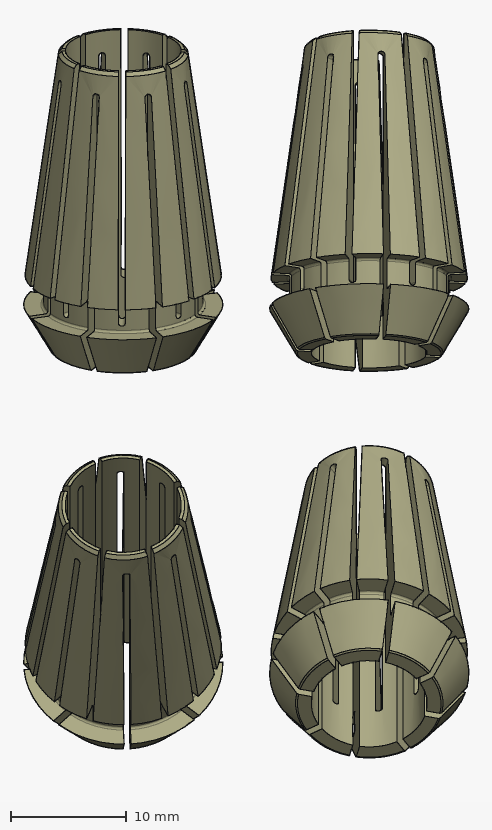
import cadquery as cq
import math

LENGTH = 27.5
BORE_RADIUS = 5.0

BODY_BOTTOM = 6.7
BODY_RADIUS = 8.5
BODY_HALF_ANGLE = 8.0
TOP_CHAMFER_HEIGHT = 0.3
TOP_FACE_RADIUS = 5.3

NECK_RADIUS = 6.9
NECK_FILLET = 0.22

HEAD_DIAMETER = 17.25
HEAD_HEIGHT = 4.0
HEAD_HALF_ANGLE = 30.0
HEAD_CHAMFER = 0.1

SLIT_COUNT = 8
SLIT_WIDTH = 0.6
LOWER_SLIT_TOP = 25.5
UPPER_SLIT_BOTTOM = 4.6


def taper(height, half_angle):
    """Change of radius over a height on a cone."""
    return height * math.tan(math.radians(half_angle))


def revolved_body():
    """Collet before slitting: head, grooved neck and tapered body around the bore."""
    head_radius = HEAD_DIAMETER / 2
    head_bottom_radius = head_radius - taper(HEAD_HEIGHT, HEAD_HALF_ANGLE)
    chamfer_bottom = LENGTH - TOP_CHAMFER_HEIGHT
    chamfer_radius = BODY_RADIUS - taper(chamfer_bottom - BODY_BOTTOM, BODY_HALF_ANGLE)
    outline = [
        (BORE_RADIUS, 0),
        (head_bottom_radius, 0),
        (head_radius, HEAD_HEIGHT),
        (NECK_RADIUS, HEAD_HEIGHT),
        (NECK_RADIUS, BODY_BOTTOM),
        (BODY_RADIUS, BODY_BOTTOM),
        (chamfer_radius, chamfer_bottom),
        (TOP_FACE_RADIUS, LENGTH),
        (BORE_RADIUS, LENGTH),
    ]
    body = cq.Workplane("XZ").polyline(outline).close().revolve(360, (0, 0), (0, 1))

    reach = NECK_RADIUS + NECK_FILLET
    neck_corners = cq.selectors.BoxSelector(
        (-reach, -reach, HEAD_HEIGHT - NECK_FILLET),
        (reach, reach, BODY_BOTTOM + NECK_FILLET),
        boundingbox=True,
    )
    body = body.edges(neck_corners).edges("%CIRCLE").fillet(NECK_FILLET)

    head_bottom_edge = cq.selectors.RadiusNthSelector(-1)
    return body.faces("<Z").edges(head_bottom_edge).chamfer(HEAD_CHAMFER)


def slit_pair(round_end, open_end):
    """Cutter across the whole diameter, rounded at one end and open at the other."""
    end_radius = SLIT_WIDTH / 2
    toward_open = math.copysign(1, open_end - round_end)
    arc_start = round_end + toward_open * end_radius
    return (
        cq.Workplane("XZ")
        .moveTo(-end_radius, open_end)
        .lineTo(-end_radius, arc_start)
        .threePointArc((0, round_end), (end_radius, arc_start))
        .lineTo(end_radius, open_end)
        .close()
        .extrude(HEAD_DIAMETER, both=True)
    )


def cut_slits(body, cutter, first_angle):
    """Cut the evenly spaced slits, two opposite ones at a time."""
    pitch = 360 / SLIT_COUNT
    for index in range(SLIT_COUNT // 2):
        angle = first_angle + index * pitch
        body = body.cut(cutter.rotate((0, 0, 0), (0, 0, 1), angle))
    return body


result = revolved_body()
result = cut_slits(result, slit_pair(LOWER_SLIT_TOP, 0), 0)
result = cut_slits(result, slit_pair(UPPER_SLIT_BOTTOM, LENGTH), 180 / SLIT_COUNT)